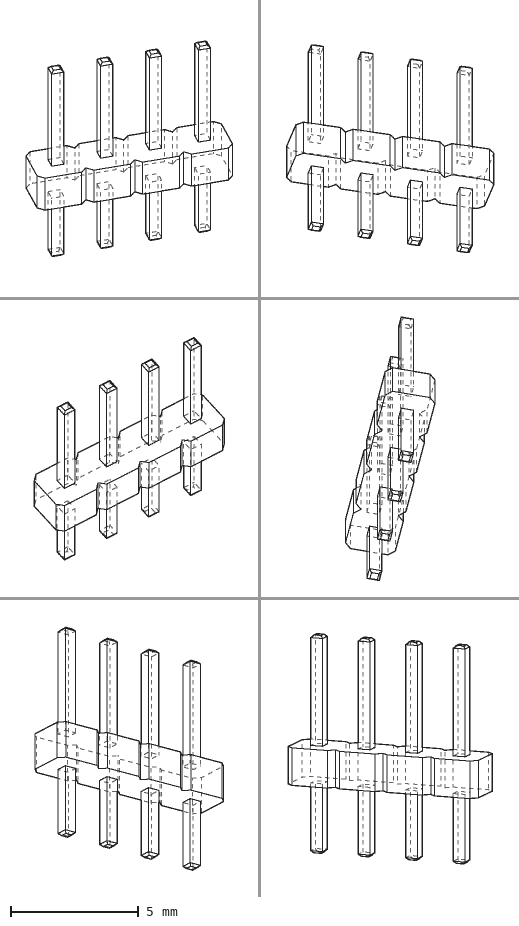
import cadquery as cq

pin_count = 4
pitch = 2.0

housing_width = 2.0
housing_height = 1.5
corner_chamfer = 0.25

pin_side = 0.5
pin_tip_chamfer = 0.1
pin_length_above = 4.4
pin_length_below = 2.8
pin_length = pin_length_below + housing_height + pin_length_above

row_positions = [(i - (pin_count - 1) / 2) * pitch for i in range(pin_count)]


def housing_cell(y):
    """One block of the housing; chamfered corners form the V notches between neighbours."""
    return (
        cq.Workplane("XY")
        .center(0, y)
        .rect(housing_width, pitch)
        .extrude(housing_height)
        .edges("|Z")
        .chamfer(corner_chamfer)
    )


def pin(y):
    """Square pin running through the housing, with both tips chamfered."""
    return (
        cq.Workplane("XY", origin=(0, y, -pin_length_below))
        .rect(pin_side, pin_side)
        .extrude(pin_length)
        .faces("<Z or >Z")
        .edges()
        .chamfer(pin_tip_chamfer)
    )


header = cq.Workplane("XY")
for y in row_positions:
    header = header.union(housing_cell(y))
header = header.clean()

for y in row_positions:
    header = header.union(pin(y))

result = header